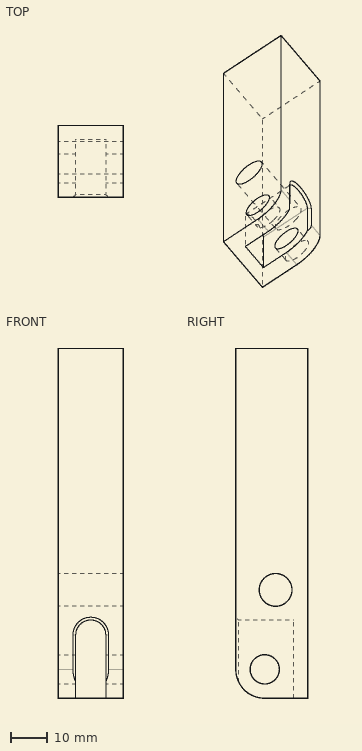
import cadquery as cq

width = 18.0
depth = 20.0
height = 97.0

nose_radius = 8.05
pin_diameter = 8.05

cross_diameter = 9.0
cross_y = 11.1
cross_z = 30.1

slot_width = 8.3
slot_top = 21.7
slot_depth = 16.0
slot_chamfer = 0.8


def make_bar():
    bar = cq.Workplane("XY").box(width, depth, height, centered=(True, False, False))
    return bar.edges("|X and <Y and <Z").fillet(nose_radius)


def side_hole(diameter, y, z):
    """Cylinder along X through the full width of the bar."""
    return cq.Workplane("YZ", origin=(-width / 2, y, z)).circle(diameter / 2).extrude(width)


def slot_profile(offset=0.0):
    """Arched slot outline on the front face, enlarged by offset at the sides and top."""
    radius = slot_width / 2 + offset
    arch_z = slot_top - slot_width / 2
    return (
        cq.Workplane("XZ")
        .moveTo(-radius, 0)
        .lineTo(-radius, arch_z)
        .threePointArc((0, arch_z + radius), (radius, arch_z))
        .lineTo(radius, 0)
        .close()
    )


def make_slot():
    """Slot with a 45 degree chamfer around its mouth on the front face."""
    channel = slot_profile().extrude(-slot_depth)
    mouth = slot_profile(slot_chamfer).extrude(-slot_chamfer, taper=45)
    return channel.union(mouth)


result = (
    make_bar()
    .cut(side_hole(pin_diameter, nose_radius, nose_radius))
    .cut(side_hole(cross_diameter, cross_y, cross_z))
    .cut(make_slot())
)